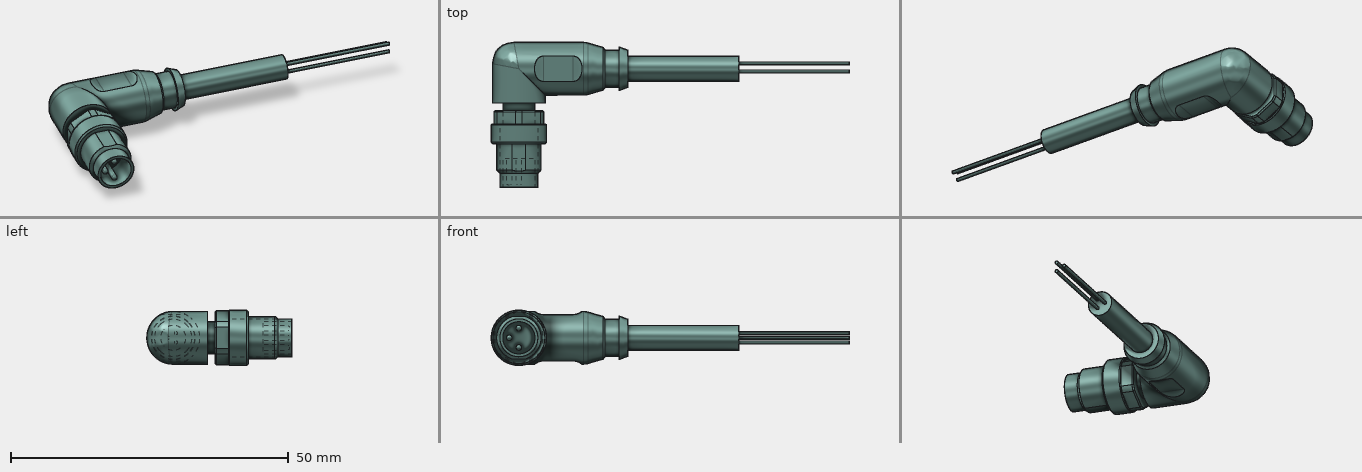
import cadquery as cq
import math

OVERALL_LENGTH = 64.5
OVERALL_WIDTH = 26.1

ELBOW_RADIUS = 4.8
BEND_TANGENT_OFFSET = 0.9
PLUG_LEG_END = 6.2
SHOULDER_START = 11.7
TAPER_START = 12.45
TAPER_START_RADIUS = 4.65
TAPER_END = 15.15
TAPER_END_RADIUS = 3.9
GROOVE_START = 15.55
GROOVE_RADIUS = 3.35
RIM_START = 18.05
RIM_RADIUS = 3.95
HOUSING_END = 19.6

RECESS_HEIGHT = 4.2
RECESS_FLOOR_START = 4.45
RECESS_FLOOR_END = 9.75
RECESS_END_RADIUS = 2.6

CABLE_RADIUS = 2.25
FREE_LENGTH = 20.0
WIRE_COUNT = 3
WIRE_RADIUS = 0.29
WIRE_CIRCLE_RADIUS = 0.95

NUT_START = 7.55
HEX_END = 9.95
COLLAR_END = 13.55
NUT_END = 18.85
HEX_SIDES = 6
HEX_FLAT_DISTANCE = 4.5
HEX_CORNER_RADIUS = 4.9
HEX_CHAMFER = 0.25
COLLAR_DIAMETER = 10.0
COLLAR_RADIUS = COLLAR_DIAMETER / 2
COLLAR_REAR_CHAMFER = 0.2
COLLAR_FRONT_CHAMFER = 0.3
THREAD_RADIUS = 4.0
THREAD_FLAT_DISTANCE = 3.8

NECK_RADIUS = 2.9
SLEEVE_RADIUS = 3.4
SOCKET_RADIUS = 2.9
SOCKET_DEPTH = 5.15
PIN_RADIUS = 0.5
PIN_CIRCLE_RADIUS = 1.75
PIN_RECESS = 0.4
PIN_ANGLES = (90, 180, 270)

PLUG_END = OVERALL_WIDTH - ELBOW_RADIUS
CABLE_END = HOUSING_END + FREE_LENGTH
WIRE_END = OVERALL_LENGTH - COLLAR_RADIUS


def cylinder_x(radius, start, end):
    """Cylinder along X, from X = start to X = end."""
    return cq.Workplane("YZ", origin=(start, 0, 0)).circle(radius).extrude(end - start)


def plug_plane(distance):
    """Workplane square to the plug axis, facing the plug mouth; local x is X and local y is Z."""
    return cq.Workplane("XZ", origin=(0, -distance, 0))


def cylinder_plug(radius, start, end):
    """Cylinder along the plug axis between two distances from the cable axis."""
    return plug_plane(start).circle(radius).extrude(end - start)


def wedge(*corners):
    """Upright wedge of space with its edge on the Z axis, spanning the given (X, Y) corners."""
    outline = cq.Workplane("XY", origin=(0, 0, -ELBOW_RADIUS)).polyline([(0, 0), *corners]).close()
    return outline.extrude(2 * ELBOW_RADIUS)


def bend_ellipsoid():
    """Ellipsoid about the origin that touches both leg cylinders, longest across the outer corner."""
    slant = BEND_TANGENT_OFFSET / ELBOW_RADIUS
    stretch = cq.Matrix([
        [math.sqrt(1 - slant), 0, 0, 0],
        [0, math.sqrt(1 + slant), 0, 0],
        [0, 0, 1, 0],
    ])
    sphere = cq.Workplane("XY").sphere(ELBOW_RADIUS, direct=(1, 0, 0)).val()
    return cq.Workplane(sphere.transformGeometry(stretch)).rotate((0, 0, 0), (0, 0, 1), 45)


def elbow():
    """Two equal cylinders, mitred on the inside of the bend and joined by an ellipsoid outside."""
    reach = 2 * ELBOW_RADIUS
    slanted = 2 * BEND_TANGENT_OFFSET
    top_seam = (-slanted, reach)
    left_seam = (-reach, slanted)
    mitre = (reach, -reach)
    cable_leg = cylinder_x(ELBOW_RADIUS, -reach, SHOULDER_START).intersect(
        wedge(mitre, (SHOULDER_START, -reach), (SHOULDER_START, reach), top_seam)
    )
    plug_leg = cylinder_plug(ELBOW_RADIUS, -reach, PLUG_LEG_END).intersect(
        wedge(mitre, (-reach, -reach), left_seam)
    )
    bend = bend_ellipsoid().intersect(wedge(top_seam, (-reach, reach), left_seam))
    return cable_leg.union(plug_leg).union(bend)


def strain_relief():
    """Tapered end of the housing, with a groove and a rim, turned about the cable axis."""
    slope = (TAPER_START_RADIUS - TAPER_END_RADIUS) / (TAPER_END - TAPER_START)
    outline = (
        cq.Workplane("XY")
        .moveTo(SHOULDER_START, 0)
        .lineTo(SHOULDER_START, ELBOW_RADIUS)
        .spline([(TAPER_START, TAPER_START_RADIUS)], tangents=[(1, 0), (1, -slope)], includeCurrent=True)
        .lineTo(TAPER_END, TAPER_END_RADIUS)
        .lineTo(GROOVE_START, GROOVE_RADIUS)
        .lineTo(RIM_START, GROOVE_RADIUS)
        .lineTo(RIM_START, RIM_RADIUS)
        .lineTo(HOUSING_END, GROOVE_RADIUS)
        .lineTo(HOUSING_END, 0)
        .close()
    )
    return outline.revolve(360, (0, 0, 0), (1, 0, 0))


def finger_recess():
    """Cutter for the upper recess: a flat floor that curves up to the surface at both ends."""
    rise = ELBOW_RADIUS - RECESS_HEIGHT
    run_out = math.sqrt(RECESS_END_RADIUS**2 - (RECESS_END_RADIUS - rise) ** 2)
    outline = (
        cq.Workplane("XZ", origin=(0, ELBOW_RADIUS, 0))
        .moveTo(RECESS_FLOOR_START, RECESS_HEIGHT)
        .lineTo(RECESS_FLOOR_END, RECESS_HEIGHT)
        .radiusArc((RECESS_FLOOR_END + run_out, ELBOW_RADIUS), -RECESS_END_RADIUS)
        .lineTo(RECESS_FLOOR_START - run_out, ELBOW_RADIUS)
        .radiusArc((RECESS_FLOOR_START, RECESS_HEIGHT), -RECESS_END_RADIUS)
        .close()
    )
    return outline.extrude(2 * ELBOW_RADIUS)


def make_housing():
    recess = finger_recess()
    return elbow().union(strain_relief()).cut(recess).cut(recess.mirror("XY"))


def make_cable():
    """Cable jacket butting on the housing, with the bare wires standing out of its end."""
    cable = cylinder_x(CABLE_RADIUS, HOUSING_END, CABLE_END)
    for index in range(WIRE_COUNT):
        angle = 2 * math.pi * index / WIRE_COUNT
        y = WIRE_CIRCLE_RADIUS * math.cos(angle)
        z = WIRE_CIRCLE_RADIUS * math.sin(angle)
        cable = cable.union(cylinder_x(WIRE_RADIUS, CABLE_END, WIRE_END).translate((0, y, z)))
    return cable


def nut_hexagon():
    """Hexagon with flats facing -X and +X and its corners turned down to a cylinder."""
    half_side_angle = 180 / HEX_SIDES
    across_corners = 2 * HEX_FLAT_DISTANCE / math.cos(math.radians(half_side_angle))
    length = HEX_END - NUT_START
    turned_plane = plug_plane(NUT_START).transformed(rotate=(0, 0, half_side_angle))
    hexagon = turned_plane.polygon(HEX_SIDES, across_corners).extrude(length)
    blank = cylinder_plug(HEX_CORNER_RADIUS, NUT_START, HEX_END)
    return hexagon.intersect(blank).faces(">Y").chamfer(HEX_CHAMFER)


def nut_thread():
    """Threaded length, bevelled down to the sleeve at its end, with flats above and below."""
    thread = cylinder_plug(THREAD_RADIUS, COLLAR_END, NUT_END)
    thread = thread.faces("<Y").chamfer(THREAD_RADIUS - SLEEVE_RADIUS)
    middle = (COLLAR_END + NUT_END) / 2
    flats = cq.Workplane("XY", origin=(0, -middle, 0)).box(
        2 * THREAD_RADIUS, NUT_END - COLLAR_END, 2 * THREAD_FLAT_DISTANCE
    )
    return thread.intersect(flats)


def make_nut():
    """Coupling nut, bored to turn on the carrier's neck and sleeve."""
    collar = cylinder_plug(COLLAR_RADIUS, HEX_END, COLLAR_END)
    collar = collar.faces(">Y").chamfer(COLLAR_REAR_CHAMFER).faces("<Y").chamfer(COLLAR_FRONT_CHAMFER)
    nut = nut_hexagon().union(collar).union(nut_thread())
    neck_bore = cylinder_plug(NECK_RADIUS, NUT_START, HEX_END)
    sleeve_bore = cylinder_plug(SLEEVE_RADIUS, HEX_END, NUT_END)
    return nut.cut(neck_bore).cut(sleeve_bore)


def domed_pin(start, tip):
    """Contact pin on the plug axis with a hemispherical tip."""
    dome_centre = tip - PIN_RADIUS
    dome = cq.Workplane("XY", origin=(0, -dome_centre, 0)).sphere(PIN_RADIUS)
    return cylinder_plug(PIN_RADIUS, start, dome_centre).union(dome)


def make_carrier():
    """Contact carrier: neck, sleeve with an open socket, and the contact pins on the socket floor."""
    socket_floor = PLUG_END - SOCKET_DEPTH
    carrier = cylinder_plug(NECK_RADIUS, PLUG_LEG_END, HEX_END)
    carrier = carrier.union(cylinder_plug(SLEEVE_RADIUS, HEX_END, PLUG_END))
    carrier = carrier.cut(cylinder_plug(SOCKET_RADIUS, socket_floor, PLUG_END))
    pin = domed_pin(socket_floor, PLUG_END - PIN_RECESS)
    for angle in PIN_ANGLES:
        x = PIN_CIRCLE_RADIUS * math.cos(math.radians(angle))
        z = PIN_CIRCLE_RADIUS * math.sin(math.radians(angle))
        carrier = carrier.union(pin.translate((x, 0, z)))
    return carrier


housing = make_housing()
cable = make_cable()
nut = make_nut()
carrier = make_carrier()

result = cq.Compound.makeCompound([housing.val(), cable.val(), nut.val(), carrier.val()])